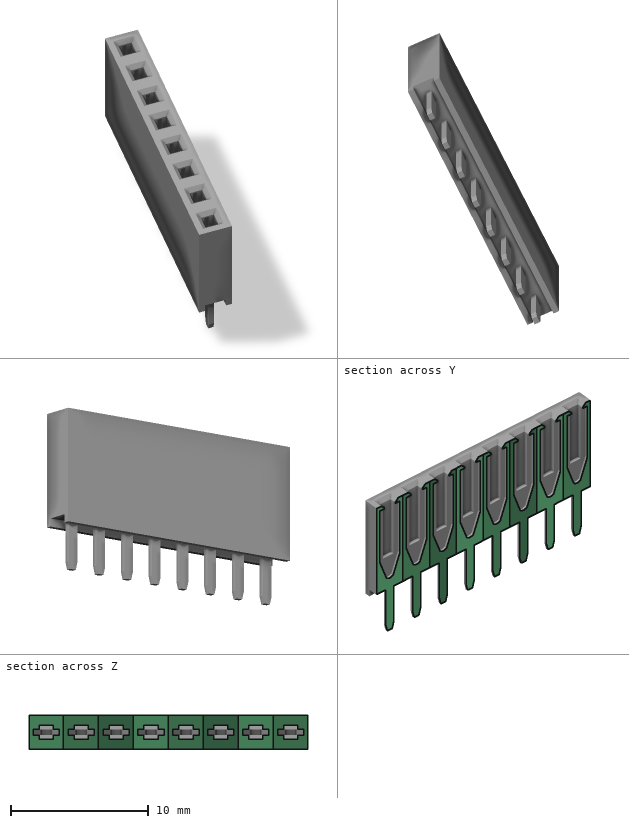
import cadquery as cq
import math

module_count = 8
row_length = 20.32
pitch = row_length / module_count
total_height = 11.7

housing_height = 8.5
housing_top = total_height
housing_bottom = housing_top - housing_height

channel_width = 1.65
channel_depth = 0.6
channel_top = housing_bottom + channel_depth

mouth_width = 1.6
throat_width = 1.0
lead_in_depth = (mouth_width - throat_width) / 2
socket_depth = 5.08
throat_bottom = housing_top - socket_depth

contact_thickness = 0.4
slot_width = 1.87
slot_cover = 0.12
slot_top = housing_top - lead_in_depth - slot_cover
fork_radius = 0.47
fork_half_angle = math.radians(40)
fork_wall_slope = math.radians(70)

pin_width = 0.8
pin_tip_width = 0.49
pin_tip_length = 0.59


def housing():
    block = cq.Workplane("XY").box(pitch, pitch, housing_height, centered=(True, True, False))
    channel = cq.Workplane("XY").box(pitch, channel_width, channel_depth, centered=(True, True, False))
    return block.cut(channel).translate((0, 0, housing_bottom))


def socket_cavity():
    lead_in = (
        cq.Workplane("XY", origin=(0, 0, housing_top))
        .rect(mouth_width, mouth_width)
        .workplane(offset=-lead_in_depth)
        .rect(throat_width, throat_width)
        .loft(ruled=True)
    )
    throat = (
        cq.Workplane("XY", origin=(0, 0, throat_bottom))
        .rect(throat_width, throat_width)
        .extrude(housing_top - lead_in_depth - throat_bottom)
    )
    return lead_in.union(throat)


def fork_slot():
    half_width = slot_width / 2
    arc_half_width = fork_radius * math.sin(fork_half_angle)
    arc_depth = fork_radius * (1 - math.cos(fork_half_angle))
    arc_ends = throat_bottom - (half_width - arc_half_width) * math.tan(fork_wall_slope)
    return (
        cq.Workplane("XZ")
        .moveTo(-half_width, slot_top)
        .lineTo(-half_width, throat_bottom)
        .lineTo(-arc_half_width, arc_ends)
        .threePointArc((0, arc_ends - arc_depth), (arc_half_width, arc_ends))
        .lineTo(half_width, throat_bottom)
        .lineTo(half_width, slot_top)
        .close()
        .extrude(contact_thickness / 2, both=True)
    )


def pin():
    half_width = pin_width / 2
    half_tip = pin_tip_width / 2
    return (
        cq.Workplane("XZ")
        .polyline([
            (-half_width, channel_top),
            (-half_width, pin_tip_length),
            (-half_tip, 0),
            (half_tip, 0),
            (half_width, pin_tip_length),
            (half_width, channel_top),
        ])
        .close()
        .extrude(contact_thickness / 2, both=True)
    )


def socket_module(center_x):
    module = housing().cut(socket_cavity()).cut(fork_slot()).union(pin())
    return module.translate((center_x, 0, 0))


first_center = -(row_length - pitch) / 2
modules = [socket_module(first_center + index * pitch) for index in range(module_count)]

result = cq.Compound.makeCompound([module.val() for module in modules])